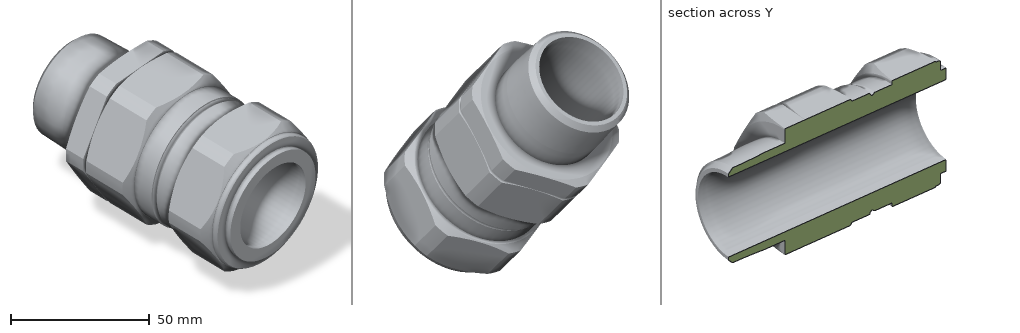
import cadquery as cq
import math

total_length = 100.7
bore_radius = 17.3

across_flats = 55.0
corner_radius = 30.2
chamfer_radius = 27.1

spigot_radius = 21.2
taper_end_x = 17.1
taper_start_radius = 20.7
tip_chamfer = 1.9

flange_start_x = 26.0
flange_chamfer = 0.8
body_nut_start_x = 35.2
body_nut_chamfer = 1.5
body_nut_cone_x = 54.8
body_nut_end_x = 57.1
body_nut_end_radius = 26.7

shoulder_radius = 26.5
shoulder_end_x = 65.6
neck_radius = 25.9
groove_radius = 25.0
groove_bottom_x = 66.4
groove_end_x = 67.7

end_nut_start_x = 75.5
end_nut_chamfer = 1.9
end_nut_cone_x = 93.0
end_nut_end_x = 96.0
end_nut_end_radius = 27.3
collar_radius = 27.1
collar_round_length = 1.2
collar_round_drop = 0.5
collar_end_x = 98.2
sleeve_radius = 22.6


def revolve_about_x(profile):
    """Turn a closed (x, radius) profile about the X axis."""
    return profile.close().revolve(360, (0, 0, 0), (1, 0, 0))


def hexagon(start_x, end_x, outline):
    """Hexagonal prism along X, trimmed to a turned (x, radius) outline."""
    across_corners = across_flats / math.cos(math.pi / 6)
    prism = (
        cq.Workplane("YZ", origin=(start_x, 0, 0))
        .polygon(6, across_corners)
        .extrude(end_x - start_x)
    )
    points = [(start_x, 0)] + outline + [(end_x, 0)]
    return prism.intersect(revolve_about_x(cq.Workplane("XY").polyline(points)))


def turned_core():
    """Solid of revolution from the spigot tip to the end of the sleeve."""
    profile = (
        cq.Workplane("XY")
        .moveTo(0, 0)
        .lineTo(0, taper_start_radius - tip_chamfer)
        .lineTo(tip_chamfer, taper_start_radius)
        .lineTo(taper_end_x, spigot_radius)
        .lineTo(body_nut_start_x, spigot_radius)
        .lineTo(body_nut_start_x, shoulder_radius)
        .lineTo(shoulder_end_x, shoulder_radius)
        .lineTo(shoulder_end_x, neck_radius)
        .lineTo(groove_bottom_x, groove_radius)
        .lineTo(groove_end_x, neck_radius)
        .lineTo(end_nut_end_x, neck_radius)
        .lineTo(end_nut_end_x, collar_radius)
        .lineTo(collar_end_x - collar_round_length, collar_radius)
        .tangentArcPoint((collar_end_x, collar_radius - collar_round_drop), relative=False)
        .lineTo(collar_end_x, sleeve_radius)
        .lineTo(total_length, sleeve_radius)
        .lineTo(total_length, 0)
    )
    return revolve_about_x(profile)


flange = hexagon(flange_start_x, body_nut_start_x, [
    (flange_start_x, chamfer_radius),
    (flange_start_x + flange_chamfer, corner_radius),
    (body_nut_start_x, corner_radius),
])

body_nut = hexagon(body_nut_start_x, body_nut_end_x, [
    (body_nut_start_x, chamfer_radius),
    (body_nut_start_x + body_nut_chamfer, corner_radius),
    (body_nut_cone_x, corner_radius),
    (body_nut_end_x, body_nut_end_radius),
])

end_nut = hexagon(end_nut_start_x, end_nut_end_x, [
    (end_nut_start_x, chamfer_radius),
    (end_nut_start_x + end_nut_chamfer, corner_radius),
    (end_nut_cone_x, corner_radius),
    (end_nut_end_x, end_nut_end_radius),
])

bore = cq.Workplane("YZ").circle(bore_radius).extrude(total_length)

result = turned_core().union(flange).union(body_nut).union(end_nut).cut(bore)